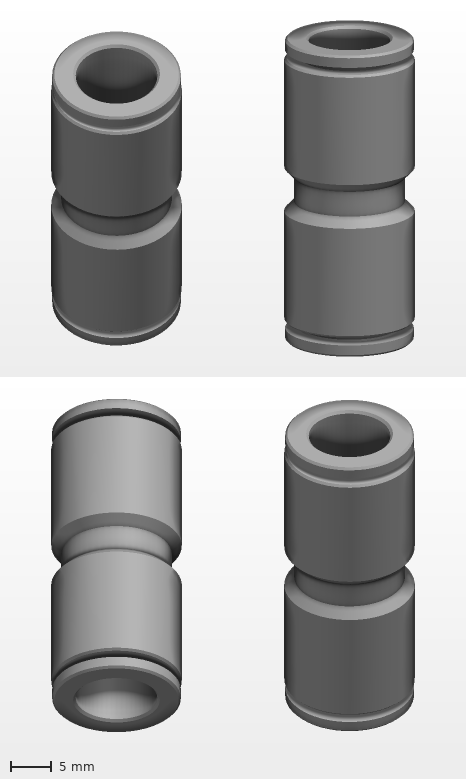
import cadquery as cq

length = 38.5
half_length = length / 2

body_diameter = 16.0
collar_diameter = 15.8
neck_diameter = 12.0
waist_diameter = 13.6

waist_half_height = 1.58
body_end_height = 16.8
collar_thickness = 1.5

body_chamfer = 0.27
collar_chamfer = 0.27
mouth_chamfer = 0.3

flare_height = 0.2
flare_width = 0.2

socket_diameter = 10.0
passage_diameter = 9.0
socket_depth = 16.95


def cylinder(diameter, bottom, top):
    """Upright cylinder on the Z axis between two heights."""
    return cq.Workplane("XY").workplane(offset=bottom).circle(diameter / 2).extrude(top - bottom)


def cone(bottom_diameter, top_diameter, bottom, top):
    """Truncated cone on the Z axis between two heights."""
    base = cq.Vector(0, 0, bottom)
    return cq.Workplane(cq.Solid.makeCone(bottom_diameter / 2, top_diameter / 2, top - bottom, pnt=base))


def upper_body():
    """Sleeve above the waist, tapering at 45 degrees down to the waist."""
    taper = (body_diameter - waist_diameter) / 2
    sleeve = cylinder(body_diameter, waist_half_height, body_end_height)
    return sleeve.faces("<Z").chamfer(taper).faces(">Z").chamfer(body_chamfer)


def upper_collar():
    """Release collar at the top end, with a chamfered rim and a flare onto the neck."""
    underside = half_length - collar_thickness
    collar = cylinder(collar_diameter, underside, half_length).faces(">Z").chamfer(collar_chamfer)
    flare = cone(neck_diameter, neck_diameter + 2 * flare_width, underside - flare_height, underside)
    return collar.union(flare)


def upper_socket():
    """Cutter for the tube socket at the top, with a chamfered mouth and a conical seat."""
    socket_bottom = half_length - socket_depth
    socket = cylinder(socket_diameter, socket_bottom, half_length)
    mouth_diameter = socket_diameter + 2 * mouth_chamfer
    mouth = cone(socket_diameter, mouth_diameter, half_length - mouth_chamfer, half_length)
    seat_height = (socket_diameter - passage_diameter) / 2
    seat = cone(passage_diameter, socket_diameter, socket_bottom - seat_height, socket_bottom)
    return socket.union(mouth).union(seat)


def both_ends(upper):
    """The upper piece together with its mirror image below the middle plane."""
    return upper.union(upper.mirror("XY"))


core = cylinder(neck_diameter, -half_length + collar_thickness, half_length - collar_thickness)
waist = cylinder(waist_diameter, -waist_half_height, waist_half_height)
passage = cylinder(passage_diameter, -half_length, half_length)

result = (
    core.union(waist)
    .union(both_ends(upper_body()))
    .union(both_ends(upper_collar()))
    .cut(passage)
    .cut(both_ends(upper_socket()))
)